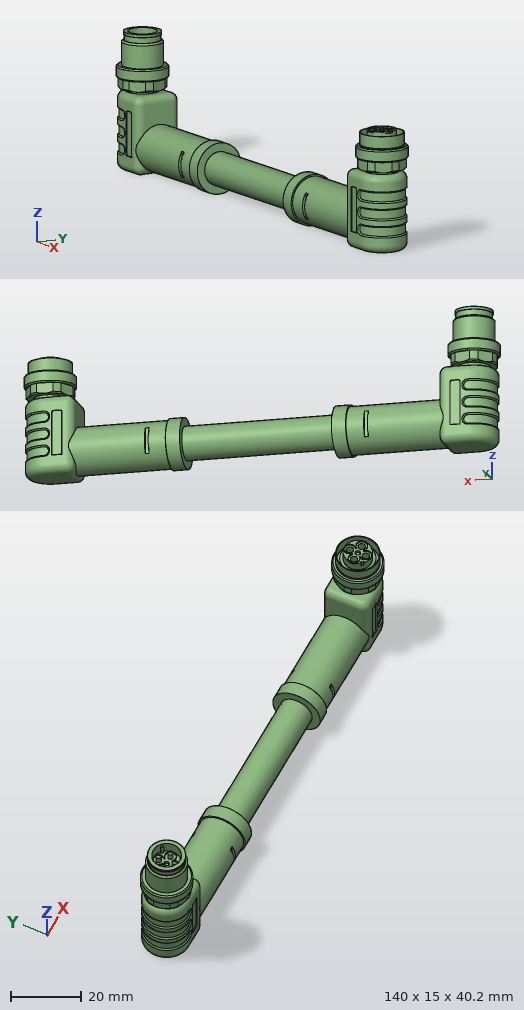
import cadquery as cq
import math

total_length = 140.0
ring_diameter = 15.0
plug_x = (total_length - ring_diameter) / 2
cable_z = ring_diameter / 2

body_width = 14.3
body_height = 22.8
body_reach = 8.7
body_fillet = 2.2

groove_pitch = 5.0
groove_middle_z = 11.5
groove_depth = 0.4
groove_outer_half = 1.7
groove_floor_half = 1.3
groove_overcut = 0.7

label_width = 3.0
label_bottom_z = 5.0
label_top_z = 18.2
label_offset = 3.8
label_depth = 0.4
label_corner = 0.5

cable_diameter = 10.0
sleeve_diameter = 14.0
sleeve_end_x = 22.4
flange_length = 4.2
notch_x = 32.3
notch_width = 1.1
notch_depth = 1.1

neck_diameter = 9.7
nut_bottom_z = 23.7
ring_bottom_z = 26.7
ring_top_z = 30.4
nut_corner_diameter = 14.0
nut_across_flats = 13.2
nut_chamfer = 0.4
male_nut_turn = -16.0
female_nut_turn = 1.0

contact_radius = 2.5
contact_recess_diameter = 3.4
contact_recess_depth = 0.4
centre_hole_diameter = 1.5
centre_hole_depth = 0.8

male_top_z = 40.2
male_barrel_diameter = 12.0
male_barrel_top_z = 37.1
male_shoulder_top_z = 37.7
male_neck_diameter = 10.5
male_rim_diameter = 10.9
male_rim_height = 0.8
male_bore_diameter = 8.4
male_bore_depth = 3.5
pin_diameter = 1.5
pin_length = 2.1
pin_tip_chamfer = 0.5
key_width = 0.8
key_height = 0.5
male_key_angle = 45.0

female_top_z = 35.0
female_barrel_diameter = 12.7
female_barrel_top_z = 34.2
female_bore_diameter = 12.3
female_bore_depth = 3.5
insert_diameter = 8.4
seal_thickness = 1.0
seal_top_z = 32.5
socket_diameter = 2.1
socket_depth = 4.2
female_key_angle = 225.0
keyway_depth = 1.1


def disc(diameter, bottom, top):
    """Upright cylinder on the plug axis."""
    return cq.Workplane("XY").workplane(offset=bottom).circle(diameter / 2).extrude(top - bottom)


def outer_contacts(face_z):
    """Workplane holding the four contact positions at the given height."""
    return cq.Workplane("XY").workplane(offset=face_z).polarArray(contact_radius, 0, 360, 4)


def face_recesses(face_z):
    """Shallow round recess at each contact and a small blind hole in the middle."""
    recess_z = face_z - contact_recess_depth
    recesses = outer_contacts(recess_z).circle(contact_recess_diameter / 2).extrude(contact_recess_depth)
    middle_recess = disc(contact_recess_diameter, recess_z, face_z)
    centre_hole = disc(centre_hole_diameter, recess_z - centre_hole_depth, face_z)
    return recesses.union(middle_recess).union(centre_hole)


def key_block(angle, wall_radius, bottom, top):
    """Radial key reaching inwards from a round wall."""
    block = cq.Workplane("XY").box(2 * key_height, key_width, top - bottom, centered=(True, True, False))
    return block.translate((wall_radius, 0, bottom)).rotate((0, 0, 0), (0, 0, 1), angle)


def grip_groove(z):
    """Bevelled groove round the half-round side, ending in a cone on each flat side."""
    surface = body_width / 2
    floor = surface - groove_depth
    slope = (groove_outer_half - groove_floor_half) / groove_depth
    outer_half = groove_outer_half + groove_overcut * slope
    band = (
        cq.Workplane("XZ")
        .polyline([
            (-floor, z - groove_floor_half),
            (-floor, z + groove_floor_half),
            (-surface - groove_overcut, z + outer_half),
            (-surface - groove_overcut, z - outer_half),
        ])
        .close()
        .revolve(360, (0, 0, 0), (0, 1, 0))
    )
    round_side = cq.Workplane("XY").box(body_width, 2 * body_width, body_height, centered=(True, True, False))
    band = band.intersect(round_side.translate((-body_width / 2, 0, 0)))
    for side in (-1, 1):
        end = cq.Solid.makeCone(
            groove_floor_half, outer_half, groove_depth + groove_overcut,
            pnt=cq.Vector(0, side * floor, z), dir=cq.Vector(0, side, 0),
        )
        band = band.union(cq.Workplane(obj=end))
    return band


def elbow_body():
    """Body of the left plug, with the plug axis on Z."""
    half = body_width / 2
    body = (
        cq.Workplane("XY")
        .moveTo(0, half)
        .threePointArc((-half, 0), (0, -half))
        .lineTo(body_reach, -half)
        .lineTo(body_reach, half)
        .close()
        .extrude(body_height)
        .edges("|Z and >X").fillet(body_fillet)
        .faces("<Z or >Z").edges().fillet(body_fillet)
    )
    for step in (-1, 0, 1):
        body = body.cut(grip_groove(groove_middle_z + step * groove_pitch))

    label_height = label_top_z - label_bottom_z
    for side in (-1, 1):
        label = (
            cq.Workplane("XY")
            .box(label_width, 2 * label_depth, label_height)
            .edges("|Y and >Z").fillet(label_corner)
            .translate((label_offset, side * half, label_bottom_z + label_height / 2))
        )
        body = body.cut(label)
    return body


def rod(diameter, start_x, end_x):
    """Round rod along X at cable height."""
    return (
        cq.Workplane("YZ").workplane(offset=start_x)
        .center(0, cable_z).circle(diameter / 2).extrude(end_x - start_x)
    )


def strain_relief():
    """Left sleeve with its end flange."""
    sleeve_start_x = -plug_x + body_reach - body_fillet
    sleeve = rod(sleeve_diameter, sleeve_start_x, -sleeve_end_x)
    for side in (-1, 1):
        notch = cq.Workplane("XY").box(notch_width, 2 * notch_depth, ring_diameter)
        sleeve = sleeve.cut(notch.translate((-notch_x, side * sleeve_diameter / 2, cable_z)))
    flange = rod(ring_diameter, -sleeve_end_x - flange_length, -sleeve_end_x)
    return sleeve.union(flange)


def coupling_nut(turn):
    """Neck, hexagon with rounded corners and round ring."""
    hexagon = (
        cq.Workplane("XY").workplane(offset=nut_bottom_z)
        .polygon(6, nut_across_flats / math.cos(math.pi / 6))
        .extrude(ring_bottom_z - nut_bottom_z)
        .rotate((0, 0, 0), (0, 0, 1), turn)
    )
    blank = disc(nut_corner_diameter, nut_bottom_z, ring_bottom_z).faces("<Z").chamfer(nut_chamfer)
    ring = disc(ring_diameter, ring_bottom_z, ring_top_z).edges().chamfer(nut_chamfer)
    neck = disc(neck_diameter, body_height - body_fillet, nut_bottom_z)
    return hexagon.intersect(blank).union(neck).union(ring)


def male_plug():
    """Stepped plug with four pins in an open bore."""
    rim_bottom_z = male_top_z - male_rim_height
    bore_floor_z = male_top_z - male_bore_depth
    shoulder_height = male_shoulder_top_z - male_barrel_top_z
    barrel = disc(male_barrel_diameter, ring_top_z, male_shoulder_top_z).faces(">Z").chamfer(shoulder_height)
    plug = (
        coupling_nut(male_nut_turn)
        .union(barrel)
        .union(disc(male_neck_diameter, male_shoulder_top_z, rim_bottom_z))
        .union(disc(male_rim_diameter, rim_bottom_z, male_top_z))
        .cut(disc(male_bore_diameter, bore_floor_z, male_top_z))
        .cut(face_recesses(bore_floor_z))
    )
    pins = (
        outer_contacts(bore_floor_z - contact_recess_depth)
        .circle(pin_diameter / 2).extrude(contact_recess_depth + pin_length)
        .faces(">Z").edges().chamfer(pin_tip_chamfer)
    )
    key = key_block(male_key_angle, male_bore_diameter / 2, bore_floor_z, rim_bottom_z)
    return plug.union(pins).union(key)


def female_plug():
    """Hollow barrel round a contact insert with sockets and a sealing ring."""
    bore_floor_z = female_barrel_top_z - female_bore_depth
    seal_radius = seal_thickness / 2
    seal_middle_radius = insert_diameter / 2 + seal_radius
    seal_middle_z = seal_top_z - seal_radius
    seal = (
        cq.Workplane("XZ")
        .center(seal_middle_radius, seal_middle_z)
        .circle(seal_radius)
        .revolve(360, (-seal_middle_radius, 0, 0), (-seal_middle_radius, 1, 0))
    )
    seal_seat = disc(2 * seal_middle_radius, bore_floor_z, seal_middle_z)
    sockets = outer_contacts(female_top_z - socket_depth).circle(socket_diameter / 2).extrude(socket_depth)
    keyway = key_block(female_key_angle, insert_diameter / 2, female_top_z - keyway_depth, female_top_z)
    return (
        coupling_nut(female_nut_turn)
        .union(disc(female_barrel_diameter, ring_top_z, female_barrel_top_z))
        .cut(disc(female_bore_diameter, bore_floor_z, female_barrel_top_z))
        .union(disc(insert_diameter, bore_floor_z, female_top_z).cut(keyway))
        .union(seal_seat)
        .union(seal)
        .cut(sockets)
        .cut(face_recesses(female_top_z))
    )


left_half = strain_relief().union(elbow_body().translate((-plug_x, 0, 0)))
cable = rod(cable_diameter, -sleeve_end_x - flange_length, sleeve_end_x + flange_length)
result = (
    cable
    .union(left_half)
    .union(left_half.mirror("YZ"))
    .union(male_plug().translate((-plug_x, 0, 0)))
    .union(female_plug().translate((plug_x, 0, 0)))
)